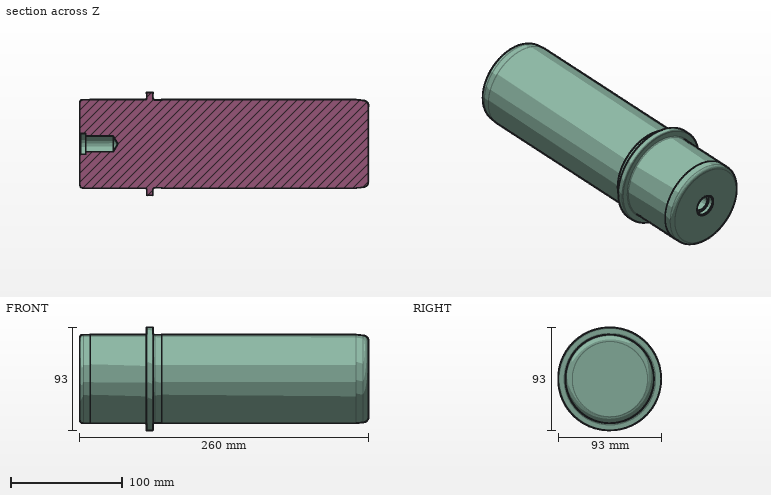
import cadquery as cq
import math

total_length = 260.0
pillar_radius = 40.0

lead_length = 9.5
lead_radius = pillar_radius - 0.05
shank_edge_radius = 3.0

collar_start = 60.0
collar_width = 6.0
collar_end = collar_start + collar_width
collar_radius = 46.5
collar_rim_round = 0.8
shank_root_fillet = 0.8
relief_root_fillet = 1.5

relief_end = 73.7
relief_radius = pillar_radius - 0.25

nose_start = 248.4
nose_round_start = 254.6
nose_radius = 39.3
nose_edge_radius = total_length - nose_round_start

mouth_radius = 10.0
mouth_chamfer = 0.8
counterbore_radius = mouth_radius - mouth_chamfer
counterbore_depth = 5.3
bore_radius = 7.0
bore_depth = 30.0
drill_tip_angle = 118.0


def spin(profile):
    """Solid made by turning a closed (x, radius) profile about the X axis."""
    return profile.revolve(360, (0, 0, 0), (1, 0, 0))


def turned_body():
    """Shank, collar, relief, guide length and nose in one turned profile."""
    profile = (
        cq.Workplane("XY")
        .lineTo(0, lead_radius - shank_edge_radius)
        .radiusArc((shank_edge_radius, lead_radius), shank_edge_radius)
        .lineTo(lead_length, lead_radius)
        .lineTo(lead_length, pillar_radius)
        .lineTo(collar_start - shank_root_fillet, pillar_radius)
        .radiusArc((collar_start, pillar_radius + shank_root_fillet), -shank_root_fillet)
        .lineTo(collar_start, collar_radius - collar_rim_round)
        .radiusArc((collar_start + collar_rim_round, collar_radius), collar_rim_round)
        .lineTo(collar_end - collar_rim_round, collar_radius)
        .radiusArc((collar_end, collar_radius - collar_rim_round), collar_rim_round)
        .lineTo(collar_end, relief_radius + relief_root_fillet)
        .radiusArc((collar_end + relief_root_fillet, relief_radius), -relief_root_fillet)
        .lineTo(relief_end, relief_radius)
        .lineTo(relief_end, pillar_radius)
        .lineTo(nose_start, pillar_radius)
        .lineTo(nose_round_start, nose_radius)
        .radiusArc((total_length, nose_radius - nose_edge_radius), nose_edge_radius)
        .lineTo(total_length, 0)
        .close()
    )
    return spin(profile)


def centre_hole():
    """Chamfered counterbore leading into a blind bore with a conical drill tip."""
    tip_length = bore_radius / math.tan(math.radians(drill_tip_angle / 2))
    profile = (
        cq.Workplane("XY")
        .lineTo(0, mouth_radius)
        .lineTo(mouth_chamfer, counterbore_radius)
        .lineTo(counterbore_depth, counterbore_radius)
        .lineTo(counterbore_depth, bore_radius)
        .lineTo(bore_depth, bore_radius)
        .lineTo(bore_depth + tip_length, 0)
        .close()
    )
    return spin(profile)


result = turned_body().cut(centre_hole())